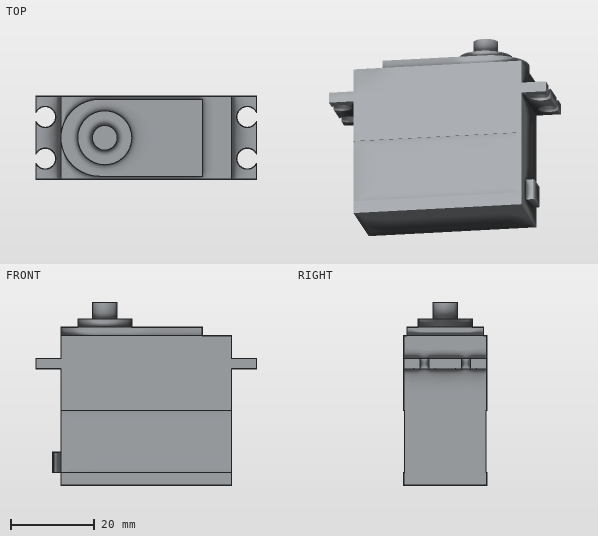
import cadquery as cq

overall_length = 53.0
width = 20.0
overall_height = 44.0

case_length = 41.0
bottom_cap_height = 3.0
seam_height = 18.0
case_height = 36.0
middle_recess = 0.15

flange_bottom = 28.0
flange_thickness = 2.5
mount_hole_diameter = 5.0
mount_hole_inset = 2.2
mount_hole_spacing = 10.0

cover_length = 34.0
cover_width = 18.5
cover_height = 2.0

shaft_x = -9.95
collar_diameter = 13.0
collar_height = 2.0
shaft_diameter = 6.0

cable_width = 7.35
cable_height = 5.0
cable_reach = 2.0
cable_bevel_width = 0.5
cable_bevel_depth = 0.35

case_left = -case_length / 2
cover_top = case_height + cover_height
collar_top = cover_top + collar_height


def block(length, depth, bottom, top):
    """Block centred on the Z axis between two heights."""
    return cq.Workplane("XY").workplane(offset=bottom).rect(length, depth).extrude(top - bottom)


def post(diameter, bottom, top):
    """Cylinder on the shaft axis between two heights."""
    base = cq.Workplane("XY").workplane(offset=bottom)
    return base.center(shaft_x, 0).circle(diameter / 2).extrude(top - bottom)


def make_case():
    bottom_cap = block(case_length, width, 0, bottom_cap_height)
    middle = block(case_length, width - 2 * middle_recess, bottom_cap_height, seam_height)
    upper = block(case_length, width, seam_height, case_height)
    return bottom_cap.union(middle).union(upper)


def make_flange():
    """Ear plate with four screw holes that break out through its ends."""
    flange_top = flange_bottom + flange_thickness
    plate = block(overall_length, width, flange_bottom, flange_top)
    hole_pitch = overall_length - 2 * mount_hole_inset
    holes = (
        cq.Workplane("XY")
        .workplane(offset=flange_bottom)
        .rect(hole_pitch, mount_hole_spacing, forConstruction=True)
        .vertices()
        .circle(mount_hole_diameter / 2)
        .extrude(flange_thickness)
    )
    return plate.cut(holes)


def make_cover():
    radius = cover_width / 2
    arc_x = case_left + radius
    return (
        cq.Workplane("XY")
        .workplane(offset=case_height)
        .moveTo(arc_x, -radius)
        .lineTo(case_left + cover_length, -radius)
        .lineTo(case_left + cover_length, radius)
        .lineTo(arc_x, radius)
        .threePointArc((case_left, 0), (arc_x, -radius))
        .close()
        .extrude(cover_height)
    )


def make_cable_block():
    """Block with its two outer upright edges bevelled."""
    half_width = cable_width / 2
    outer_x = case_left - cable_reach
    bevel_x = outer_x + cable_bevel_depth
    outer_half_width = half_width - cable_bevel_width
    outline = [
        (case_left, -half_width),
        (bevel_x, -half_width),
        (outer_x, -outer_half_width),
        (outer_x, outer_half_width),
        (bevel_x, half_width),
        (case_left, half_width),
    ]
    base = cq.Workplane("XY").workplane(offset=bottom_cap_height)
    return base.polyline(outline).close().extrude(cable_height)


result = (
    make_case()
    .union(make_flange())
    .union(make_cover())
    .union(post(collar_diameter, cover_top, collar_top))
    .union(post(shaft_diameter, collar_top, overall_height))
    .union(make_cable_block())
)